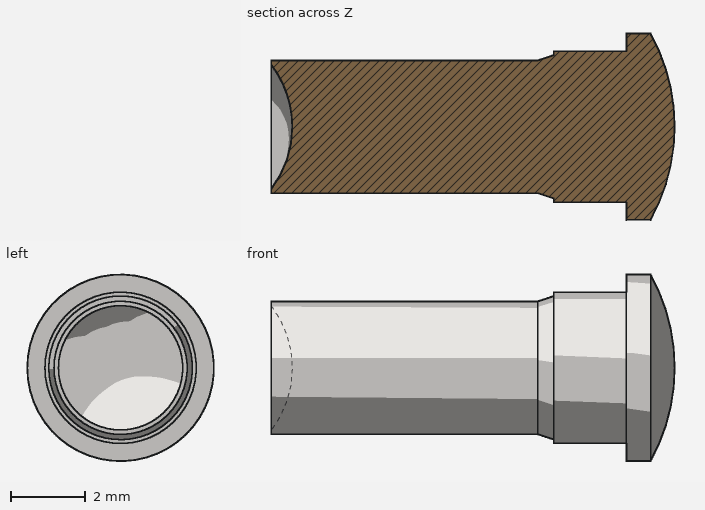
import cadquery as cq

length = 10.79
shank_end = -length / 2
tip = length / 2
dome_height = 0.65
flange_thickness = 0.65
collar_length = 1.94
taper_length = 0.42

dome_start = tip - dome_height
flange_start = dome_start - flange_thickness
collar_start = flange_start - collar_length
taper_start = collar_start - taper_length

flange_radius = 5.0 / 2
collar_radius = 4.05 / 2
shank_radius = 3.56 / 2
taper_end_radius = 3.84 / 2

dish_rim_radius = 3.32 / 2
dish_depth = 0.56


def sphere_radius(rim_radius, height):
    """Radius of the sphere whose cap has this rim radius and height."""
    return (rim_radius**2 + height**2) / (2 * height)


def turned_body():
    """Dished shank, taper, collar, flange and domed head, turned about the X axis."""
    dish_radius = sphere_radius(dish_rim_radius, dish_depth)
    dome_radius = sphere_radius(flange_radius, dome_height)
    profile = (
        cq.Workplane("XY")
        .moveTo(shank_end + dish_depth, 0)
        .radiusArc((shank_end, dish_rim_radius), -dish_radius)
        .lineTo(shank_end, shank_radius)
        .lineTo(taper_start, shank_radius)
        .lineTo(collar_start, taper_end_radius)
        .lineTo(collar_start, collar_radius)
        .lineTo(flange_start, collar_radius)
        .lineTo(flange_start, flange_radius)
        .lineTo(dome_start, flange_radius)
        .radiusArc((tip, 0), dome_radius)
        .close()
    )
    return profile.revolve(360, (0, 0, 0), (1, 0, 0))


result = turned_body()